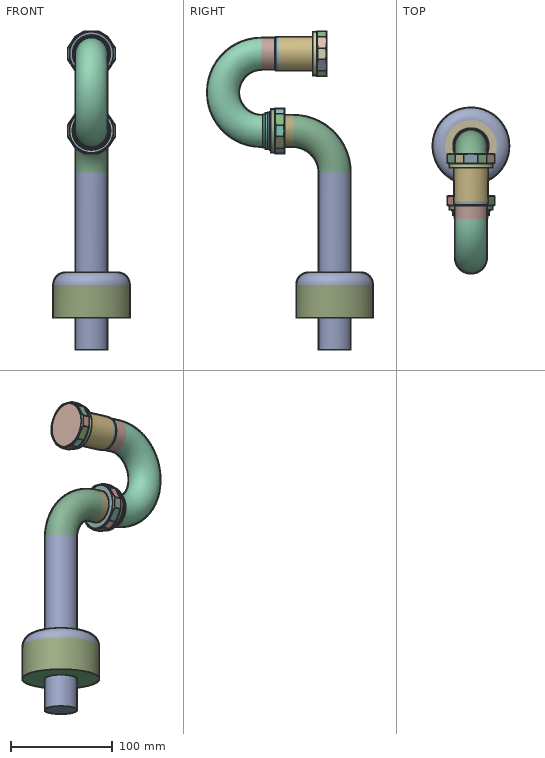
import cadquery as cq


PIPE_R = 16.0
ELBOW_BEND_R = 41.2
TRAP_BEND_R = 38.0
LOWER_AXIS_Z = 216.0
UPPER_AXIS_Z = LOWER_AXIS_Z + 2 * TRAP_BEND_R
TRAP_BEND_Y = -72.0

HEAD_LENGTH = 10.0
COLLAR_LENGTH = 4.0
COLLAR_R = 21.7
HEAD_HALF_WIDTH = 23.5
HEAD_HALF_HEIGHT = 22.3
HEAD_TOP_CORNER_X = 7.0
HEAD_DIAGONAL_CORNER = (15.7, 17.0)
HEAD_SIDE_CORNER_Z = 5.5
HEAD_CORNER_R = 24.5
HEAD_CHAMFER_LENGTH = 1.3
UPPER_NUT_Y = -7.5
LOWER_NUT_Y = -49.0
NUT_LENGTH = HEAD_LENGTH + COLLAR_LENGTH

SLEEVE_R = 17.0
SLEEVE_TAPER_Y = -54.7
SLEEVE_BEVEL_R = 16.7
SLEEVE_BEVEL_Y = -58.0
SLEEVE_END_Y = -59.0
SLEEVE_GROOVE = 1.5

LOWER_RINGS = [(19.0, -64.0), (18.2, -66.0), (18.0, -68.2), (16.7, -70.8)]

ROSETTE_R = 38.0
ROSETTE_BOTTOM_Z = 31.8
ROSETTE_HEIGHT = 45.0
ROSETTE_FILLET = 12.5
ROSETTE_HOLE_CHAMFER = 1.5


def rod_along_y(radius, start_y, end_y, axis_z):
    """Round rod from start_y towards -Y, ending at end_y."""
    return (
        cq.Workplane("XZ", origin=(0, start_y, axis_z))
        .circle(radius)
        .extrude(start_y - end_y)
    )


def turned_on_upper_axis(profile):
    """Solid of revolution around the upper trap axis from (radius, Y) points."""
    turned = cq.Workplane("XY").polyline(profile).close().revolve(360, (0, 0, 0), (0, 1, 0))
    return turned.translate((0, 0, UPPER_AXIS_Z))


def make_drop_pipe():
    path = (
        cq.Workplane("YZ")
        .lineTo(0, LOWER_AXIS_Z - ELBOW_BEND_R)
        .radiusArc((-ELBOW_BEND_R, LOWER_AXIS_Z), -ELBOW_BEND_R)
        .lineTo(LOWER_NUT_Y, LOWER_AXIS_Z)
    )
    return cq.Workplane("XY").circle(PIPE_R).sweep(path)


def make_nut(face_y, axis_z):
    diagonal_x, diagonal_z = HEAD_DIAGONAL_CORNER
    quarter = [
        (HEAD_HALF_WIDTH, HEAD_SIDE_CORNER_Z),
        (diagonal_x, diagonal_z),
        (HEAD_TOP_CORNER_X, HEAD_HALF_HEIGHT),
    ]
    upper_half = quarter + [(-x, z) for x, z in reversed(quarter)]
    corners = upper_half + [(-x, -z) for x, z in upper_half]
    head = cq.Workplane("XZ", origin=(0, face_y, axis_z)).polyline(corners).close().extrude(HEAD_LENGTH)

    envelope = (
        cq.Workplane("XZ", origin=(0, face_y, axis_z))
        .circle(HEAD_CORNER_R)
        .extrude(HEAD_LENGTH)
        .edges()
        .chamfer(HEAD_CHAMFER_LENGTH, HEAD_CORNER_R - COLLAR_R)
    )
    collar = rod_along_y(COLLAR_R, face_y - HEAD_LENGTH, face_y - NUT_LENGTH, axis_z)
    return head.intersect(envelope).union(collar)


def make_sleeve():
    profile = [
        (0, UPPER_NUT_Y),
        (SLEEVE_R, UPPER_NUT_Y),
        (SLEEVE_R, SLEEVE_TAPER_Y),
        (SLEEVE_BEVEL_R, SLEEVE_BEVEL_Y),
        (PIPE_R, SLEEVE_END_Y),
        (0, SLEEVE_END_Y),
    ]
    return turned_on_upper_axis(profile)


def make_sleeve_groove():
    collar_end_y = UPPER_NUT_Y - NUT_LENGTH
    profile = [
        (SLEEVE_R, collar_end_y),
        (SLEEVE_R + SLEEVE_GROOVE, collar_end_y),
        (SLEEVE_R, collar_end_y + SLEEVE_GROOVE),
    ]
    return turned_on_upper_axis(profile)


def make_trap():
    path = (
        cq.Workplane("YZ")
        .moveTo(UPPER_NUT_Y, UPPER_AXIS_Z)
        .lineTo(TRAP_BEND_Y, UPPER_AXIS_Z)
        .threePointArc(
            (TRAP_BEND_Y - TRAP_BEND_R, LOWER_AXIS_Z + TRAP_BEND_R),
            (TRAP_BEND_Y, LOWER_AXIS_Z),
        )
        .lineTo(LOWER_NUT_Y, LOWER_AXIS_Z)
    )
    trap = cq.Workplane("XZ", origin=(0, UPPER_NUT_Y, UPPER_AXIS_Z)).circle(PIPE_R).sweep(path)
    trap = trap.union(make_sleeve())
    for ring_r, ring_end_y in LOWER_RINGS:
        trap = trap.union(rod_along_y(ring_r, LOWER_NUT_Y, ring_end_y, LOWER_AXIS_Z))
    for face_y, axis_z in [(UPPER_NUT_Y, UPPER_AXIS_Z), (LOWER_NUT_Y, LOWER_AXIS_Z)]:
        trap = trap.union(make_nut(face_y, axis_z))
    return trap.cut(make_sleeve_groove())


def make_rosette():
    top_z = ROSETTE_BOTTOM_Z + ROSETTE_HEIGHT
    body = (
        cq.Workplane("XY", origin=(0, 0, ROSETTE_BOTTOM_Z))
        .circle(ROSETTE_R)
        .extrude(ROSETTE_HEIGHT)
        .faces(">Z")
        .edges()
        .fillet(ROSETTE_FILLET)
    )
    hole = cq.Workplane("XY", origin=(0, 0, ROSETTE_BOTTOM_Z)).circle(PIPE_R).extrude(ROSETTE_HEIGHT)
    hole_mouth = (
        cq.Workplane("XY", origin=(0, 0, top_z))
        .circle(PIPE_R + ROSETTE_HOLE_CHAMFER)
        .workplane(offset=-ROSETTE_HOLE_CHAMFER)
        .circle(PIPE_R)
        .loft()
    )
    return body.cut(hole).cut(hole_mouth)


drop_pipe = make_drop_pipe()
trap = make_trap()
rosette = make_rosette()

result = cq.Compound.makeCompound([drop_pipe.val(), trap.val(), rosette.val()])